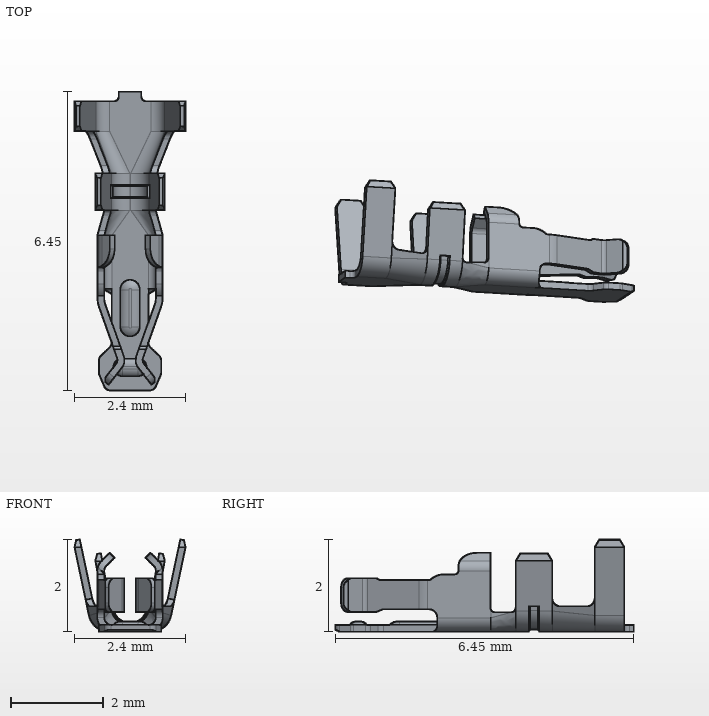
import cadquery as cq
import math

sheet = 0.15
length = 6.45
reach = 2.0

insulation_front = 5.60
insulation_rear = 6.245
insulation_flat = 0.446
insulation_radius = 0.454
insulation_half_width = 1.2
insulation_shoulder_z = 1.83
insulation_top = 2.0

wire_front = 3.895
wire_rear = 4.69
wire_flat = 0.01
wire_radius = 0.555
wire_half_width = 0.751
wire_shoulder_z = 1.54
wire_top = 1.70

wing_corner_y = 0.105
wing_corner_z = 0.17
wing_bevel = 0.065

rear_rim_z = 0.555
front_rim_z = 0.425
rear_rim_round = 0.17
front_rim_round = 0.10

band_width = 0.29
band_groove_width = 0.22
band_height = 0.05
band_draft = 0.03
band_top = 0.55

box_front = 2.20
box_rear = 3.354
box_flat = 0.395
box_radius = 0.31
lip_start_z = 1.317
lip_radius = 0.307
lip_turn = 45
lip_front = 2.66
lip_round = 0.40
box_top = 1.71
box_toe = 0.12
box_shoulder_z = 1.245
box_shoulder_front = 2.31
box_shoulder_radius = 0.47
box_notch_round = 0.08

arm_bend_start = 1.99
arm_bend_radius = 0.46
arm_turn = 19.6
arm_half_gap = 0.12
contact_radius = 0.19
flare_turn = 38
flare_length = 0.465
flare_half_width = 0.533
arm_root_y = 2.05
arm_root_round = 0.17
arm_top = 1.125
arm_bottom = 0.486
head_top = 1.163
head_bottom = 0.428
head_rear = 0.96
head_round = 0.20
head_step = 0.07

tongue_half_width = 0.40
tongue_neck_y = 0.97
tongue_head_half_width = 0.675
tongue_shoulder_y = 0.71
tongue_side_end_y = 0.36
tongue_tip_half_width = 0.52
tongue_round = 0.15
tongue_lead_length = 0.10
tongue_lead_height = 0.05
tab_half_width = 0.246
tab_round = 0.10

bead_height = 0.08
bead_half_width = 0.21
bead_crest_half_width = 0.028
long_bead_front = 1.17
long_bead_rear = 2.39
cross_bead_y = 0.50
cross_bead_half_width = 0.19
cross_bead_half_length = 0.36


def in_section(y):
    """Map flat (u, v) points onto the X-Z plane at the given y."""
    return lambda u, v: cq.Vector(u, y, v)


def in_plan(u, v):
    return cq.Vector(u, v, 0)


def strip_wire(start, heading, moves, place, tip_bevel=None):
    """Outline of a sheet edge that follows lines (length,) and bends (mid radius, turn).

    Headings and turns are in degrees, a positive turn going left. tip_bevel is the bevel
    (along, across) at the end of the right-hand side.
    """
    half = sheet / 2
    x, y = start
    left, right = [], []

    def sides(px, py, angle):
        nx, ny = -math.sin(angle), math.cos(angle)
        return (
            place(px + half * nx, py + half * ny),
            place(px - half * nx, py - half * ny),
        )

    angle = math.radians(heading)
    last = sides(x, y, angle)
    first = last
    for number, move in enumerate(moves):
        if len(move) == 1:
            x += move[0] * math.cos(angle)
            y += move[0] * math.sin(angle)
            end = sides(x, y, angle)
            left.append(cq.Edge.makeLine(last[0], end[0]))
            if tip_bevel and number == len(moves) - 1:
                along, across = tip_bevel
                share = across / sheet
                shoulder = end[1] + (last[1] - end[1]).normalized() * along
                crest = end[1] + (end[0] - end[1]) * share
                right.append(cq.Edge.makeLine(last[1], shoulder))
                right.append(cq.Edge.makeLine(shoulder, crest))
                end = (end[0], crest)
            else:
                right.append(cq.Edge.makeLine(last[1], end[1]))
        else:
            radius, turn = move
            side = math.copysign(1, turn)
            cx = x - side * radius * math.sin(angle)
            cy = y + side * radius * math.cos(angle)
            middle_angle = angle + math.radians(turn) / 2
            angle += math.radians(turn)
            middle = sides(
                cx + side * radius * math.sin(middle_angle),
                cy - side * radius * math.cos(middle_angle),
                middle_angle,
            )
            x = cx + side * radius * math.sin(angle)
            y = cy - side * radius * math.cos(angle)
            end = sides(x, y, angle)
            left.append(cq.Edge.makeThreePointArc(last[0], middle[0], end[0]))
            right.append(cq.Edge.makeThreePointArc(last[1], middle[1], end[1]))
        last = end
    caps = [cq.Edge.makeLine(*first), cq.Edge.makeLine(*last)]
    return cq.Wire.assembleEdges([caps[0]] + left + [caps[1]] + right[::-1])


def both_sides(solid):
    half = cq.Workplane(obj=solid)
    return half.union(half.mirror("YZ"))


def wing_lean(flat, radius, half_width, shoulder_z):
    """Lean from vertical of a wing tangent to its floor bend and passing its outer shoulder."""
    run = half_width - flat
    rise = shoulder_z - radius
    return math.degrees(math.atan2(run, rise) - math.asin(radius / math.hypot(run, rise)))


def wall_wire(y, flat, radius, lean, top, shoulder_z=None):
    """Right half of a channel section: floor, bend and side wall, up to height top."""
    tilt = math.radians(lean)
    wall_length = (top - radius + (radius - sheet) * math.sin(tilt)) / math.cos(tilt)
    bevel = None
    if shoulder_z:
        shoulder_length = (shoulder_z - radius * (1 - math.sin(tilt))) / math.cos(tilt)
        bevel = (wall_length - shoulder_length, wing_bevel)
    moves = [(flat,), (radius - sheet / 2, 90 - lean), (wall_length,)]
    return strip_wire((0, sheet / 2), 0, moves, in_section(y), bevel)


def crimp(front, rear, flat, radius, lean, top, shoulder_z):
    wire = wall_wire(front, flat, radius, lean, top, shoulder_z)
    return both_sides(cq.Solid.extrudeLinear(wire, [], cq.Vector(0, rear - front, 0)))


def channel(front_wire, rear_wire):
    return both_sides(cq.Solid.makeLoft([front_wire, rear_wire], True))


def rim_gap(front, rear, rim_z, rounding):
    """Opening above a channel rim, with rounded lower corners."""
    gap = (
        cq.Workplane("YZ", origin=(-reach, 0, 0))
        .moveTo(front, rim_z)
        .lineTo(rear, rim_z)
        .lineTo(rear, insulation_top)
        .lineTo(front, insulation_top)
        .close()
        .extrude(2 * reach)
    )
    return gap.edges("|X and <Z").fillet(rounding)


def wing_corners(front, rear, top):
    """Wedges that clip the two upper corners of a wing pair."""
    wedges = cq.Workplane("YZ", origin=(-reach, 0, 0))
    for edge_y, inward in ((front, 1), (rear, -1)):
        wedges = (
            wedges.moveTo(edge_y, top)
            .lineTo(edge_y + inward * wing_corner_y, top)
            .lineTo(edge_y, top - wing_corner_z)
            .close()
        )
    return wedges.extrude(2 * reach)


def crimp_barrel():
    insulation_lean = wing_lean(
        insulation_flat, insulation_radius, insulation_half_width, insulation_shoulder_z
    )
    wire_lean = wing_lean(wire_flat, wire_radius, wire_half_width, wire_shoulder_z)
    insulation_shape = (insulation_flat, insulation_radius, insulation_lean)
    wire_shape = (wire_flat, wire_radius, wire_lean)
    box_shape = (box_flat, box_radius, 0)

    insulation = crimp(
        insulation_front, insulation_rear, *insulation_shape, insulation_top, insulation_shoulder_z
    ).cut(wing_corners(insulation_front, insulation_rear, insulation_top))
    wire = crimp(wire_front, wire_rear, *wire_shape, wire_top, wire_shoulder_z)
    wire = wire.cut(wing_corners(wire_front, wire_rear, wire_top))

    rear_top = rear_rim_z + rear_rim_round
    rear_channel = channel(
        wall_wire(wire_rear, *wire_shape, rear_top),
        wall_wire(insulation_front, *insulation_shape, rear_top),
    ).cut(rim_gap(wire_rear, insulation_front, rear_rim_z, rear_rim_round))

    front_top = front_rim_z + front_rim_round
    front_channel = channel(
        wall_wire(box_rear, *box_shape, front_top),
        wall_wire(wire_front, *wire_shape, front_top),
    ).cut(rim_gap(box_rear, wire_front, front_rim_z, front_rim_round))

    barrel = insulation.union(rear_channel).union(wire).union(front_channel)
    return press_band(barrel, wire_lean)


def band_ring(offset, width, lean):
    """U-shaped layer, band_height thick, whose outer face is offset inward from the wire crimp."""
    middle_y = (wire_front + wire_rear) / 2

    def filled(inset):
        tilt = math.radians(lean)
        bend = math.pi / 2 - tilt
        radius = wire_radius - inset
        bend_x = wire_flat + radius * math.sin(bend)
        bend_z = wire_radius - radius * math.cos(bend)
        middle_x = wire_flat + radius * math.sin(bend / 2)
        middle_z = wire_radius - radius * math.cos(bend / 2)
        top_x = bend_x + (band_top - bend_z) * math.tan(tilt)
        return (
            cq.Workplane("XZ", origin=(0, middle_y, 0))
            .moveTo(-wire_flat, inset)
            .lineTo(wire_flat, inset)
            .threePointArc((middle_x, middle_z), (bend_x, bend_z))
            .lineTo(top_x, band_top)
            .lineTo(-top_x, band_top)
            .lineTo(-bend_x, bend_z)
            .threePointArc((-middle_x, middle_z), (-wire_flat, inset))
            .close()
            .extrude(width / 2, both=True)
        )

    ring = filled(offset).cut(filled(offset + band_height))
    for side in (-1, 1):
        rim_point = (0, middle_y + side * width / 2, offset + band_height)
        ring = ring.edges(cq.selectors.NearestToPointSelector(rim_point)).chamfer(band_draft)
    return ring


def press_band(barrel, lean):
    """Groove the wire crimp from outside and raise the matching band inside."""
    raised = band_ring(sheet, band_width, lean)
    groove = band_ring(0, band_groove_width, lean)
    return barrel.union(raised).cut(groove)


def rear_tab():
    return (
        cq.Workplane("XY")
        .moveTo(-tab_half_width, length)
        .lineTo(tab_half_width, length)
        .lineTo(tab_half_width, insulation_rear + tab_round)
        .radiusArc((tab_half_width + tab_round, insulation_rear), -tab_round)
        .lineTo(-tab_half_width - tab_round, insulation_rear)
        .radiusArc((-tab_half_width, insulation_rear + tab_round), -tab_round)
        .close()
        .extrude(sheet)
    )


def contact_walls():
    """Box walls with curled lips, ending where the arms begin to bend."""
    lip_angle = math.radians(lip_turn)
    lip_rise = box_top - lip_start_z - lip_radius * math.sin(lip_angle)
    moves = [
        (box_flat,),
        (box_radius - sheet / 2, 90),
        (lip_start_z - box_radius,),
        (lip_radius - sheet / 2, lip_turn),
        (lip_rise / math.sin(lip_angle),),
    ]
    wire = strip_wire((0, sheet / 2), 0, moves, in_section(arm_bend_start))
    depth = cq.Vector(0, box_rear - arm_bend_start, 0)
    wall = cq.Workplane(obj=cq.Solid.extrudeLinear(wire, [], depth))
    bend_x = box_flat + box_radius - lip_radius * (1 - math.cos(lip_angle))
    tip_x = bend_x - lip_rise / math.tan(lip_angle)
    return both_sides(wall.cut(lip_corner(tip_x, lip_angle)).val())


def lip_corner(tip_x, lip_angle):
    """Waste outside the rounded front corner of a lip, square to the lip."""
    across_lip = (-math.cos(lip_angle), 0, -math.sin(lip_angle))
    lip_plane = cq.Plane(origin=(tip_x, lip_front, box_top), xDir=(0, 1, 0), normal=across_lip)
    middle = lip_round * (1 - math.sqrt(0.5))
    return (
        cq.Workplane(lip_plane)
        .moveTo(lip_round, 0)
        .threePointArc((middle, middle), (0, lip_round))
        .lineTo(-lip_round, lip_round)
        .lineTo(-lip_round, 0)
        .close()
        .extrude(2 * sheet, both=True)
    )


def spring_arms():
    """Arms that converge to a narrow gap and flare apart again at the mating end."""
    wall_x = box_flat + box_radius - sheet / 2
    turn = math.radians(arm_turn)
    bend_inset = (arm_bend_radius + contact_radius) * (1 - math.cos(turn))
    straight = (wall_x - arm_half_gap - sheet / 2 - bend_inset) / math.sin(turn)
    moves = [
        (arm_bend_radius, -arm_turn),
        (straight,),
        (contact_radius, arm_turn + flare_turn),
        (flare_length,),
    ]
    wire = strip_wire((wall_x, arm_bend_start), -90, moves, in_plan)
    height = cq.Vector(0, 0, head_top - head_bottom)
    arm = cq.Workplane(obj=cq.Solid.extrudeLinear(wire, [], height)).translate((0, 0, head_bottom))
    tip = cq.selectors.NearestToPointSelector((flare_half_width, 0, (head_top + head_bottom) / 2))
    arms = both_sides(arm.faces(tip).edges("not |Z").fillet(head_round).val())
    flare_end = cq.Workplane("XY").box(reach, head_rear, 2 * reach)
    for side in (-1, 1):
        arms = arms.cut(flare_end.translate((side * (flare_half_width + reach / 2), 0, 0)))
    return arms


def contact_side_outline():
    """Side outline of the box walls and the spring arms."""
    return (
        cq.Workplane("YZ", origin=(-reach, 0, 0))
        .moveTo(box_rear, 0)
        .lineTo(box_rear, box_top)
        .lineTo(lip_front, box_top)
        .lineTo(lip_front, box_shoulder_z + box_notch_round)
        .radiusArc((lip_front - box_notch_round, box_shoulder_z), box_notch_round)
        .lineTo(box_shoulder_front, box_shoulder_z)
        .radiusArc((arm_root_y, arm_top), -box_shoulder_radius)
        .lineTo(head_rear, arm_top)
        .lineTo(head_rear - head_step, head_top)
        .lineTo(0, head_top)
        .lineTo(0, head_bottom)
        .lineTo(head_rear - head_step, head_bottom)
        .lineTo(head_rear + head_step, arm_bottom)
        .lineTo(box_front - arm_root_round, arm_bottom)
        .radiusArc((box_front, arm_bottom - arm_root_round), arm_root_round)
        .lineTo(box_front, box_toe)
        .radiusArc((box_front - box_toe, 0), box_toe)
        .close()
        .extrude(2 * reach)
    )


def contact():
    return contact_walls().union(spring_arms()).intersect(contact_side_outline())


def tongue():
    right_side = [
        (tongue_half_width, box_front),
        (tongue_half_width, tongue_neck_y),
        (tongue_head_half_width, tongue_shoulder_y),
        (tongue_head_half_width, tongue_side_end_y),
        (tongue_tip_half_width, 0),
    ]
    left_side = [(-x, y) for x, y in reversed(right_side)]
    plate = cq.Workplane("XY").polyline(right_side + left_side).close().extrude(sheet)
    rounded = cq.selectors.BoxSelector(
        (-reach, -tongue_round, -sheet), (reach, box_front - tongue_round, sheet)
    )
    plate = plate.edges("|Z").edges(rounded).fillet(tongue_round)
    lead = (
        cq.Workplane("YZ", origin=(-reach, 0, 0))
        .lineTo(tongue_lead_length, 0)
        .lineTo(0, tongue_lead_height)
        .close()
        .extrude(2 * reach)
    )
    return plate.cut(lead)


def bead(half_width, half_length):
    """Domed bead along Y, centred on the origin, with its base on the sheet's upper face."""
    slope = half_width - bead_crest_half_width
    dome_radius = (slope**2 + bead_height**2) / (2 * bead_height)
    crown_z = sheet + bead_height
    middle_x = bead_crest_half_width + slope / 2
    middle_z = crown_z - dome_radius + math.sqrt(dome_radius**2 - slope**2 / 4)
    end_y = half_length - half_width
    profile = (
        cq.Workplane("XZ")
        .lineTo(half_width, 0)
        .lineTo(half_width, sheet)
        .threePointArc((middle_x, middle_z), (bead_crest_half_width, crown_z))
        .lineTo(0, crown_z)
        .close()
    )
    dome = profile.revolve(360, (0, 0, 0), (0, 1, 0))
    body = both_sides(profile.toPending().extrude(end_y, both=True).val())
    return body.union(dome.translate((0, end_y, 0))).union(dome.translate((0, -end_y, 0)))


def floor_beads():
    long_half = (long_bead_rear - long_bead_front) / 2
    long_bead = bead(bead_half_width, long_half).translate((0, long_bead_front + long_half, 0))
    cross_bead = bead(cross_bead_half_width, cross_bead_half_length)
    cross_bead = cross_bead.rotate((0, 0, 0), (0, 0, 1), 90).translate((0, cross_bead_y, 0))
    return long_bead.union(cross_bead)


result = crimp_barrel().union(rear_tab()).union(contact()).union(tongue()).union(floor_beads())